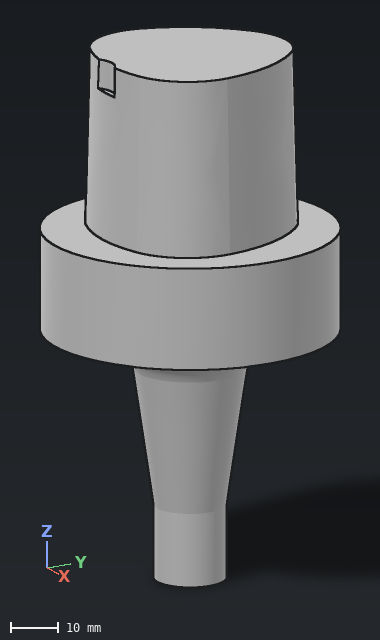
import cadquery as cq
import math

total_height = 114.0
shank_top = 16.0
flange_bottom = 54.0
flange_top = 76.1

shank_radius = 15.4 / 2
flange_radius = 63.0 / 2
neck_radius = 12.5
underside_angle = 15.0
neck_fillet = 5.0
neck_top = flange_bottom - (flange_radius - neck_radius) * math.tan(math.radians(underside_angle))

lobe_reach = 23.4
flank_reach = 20.5
lobe_radius = 15.2
head_taper = math.degrees(math.atan(1 / 40))

notch_radius = 6.2
notch_depth = 6.3
notch_inner_y = -18.1


def polar(distance, angle):
    """Point at a distance from the axis, with the angle in degrees."""
    return distance * math.cos(math.radians(angle)), distance * math.sin(math.radians(angle))


def make_round_body():
    profile = (
        cq.Workplane("XZ")
        .lineTo(shank_radius, 0)
        .lineTo(shank_radius, shank_top)
        .lineTo(neck_radius, neck_top)
        .lineTo(flange_radius, flange_bottom)
        .lineTo(flange_radius, flange_top)
        .lineTo(0, flange_top)
        .close()
    )
    body = profile.revolve(360, (0, 0), (0, 1))
    neck_corner = cq.selectors.BoxSelector(
        (-flange_radius, -flange_radius, neck_top - 1.1),
        (flange_radius, flange_radius, neck_top + 1.1),
        boundingbox=True,
    )
    return body.edges(neck_corner).fillet(neck_fillet)


def make_head():
    lobe_offset = lobe_reach - lobe_radius
    reach_gap = lobe_reach - flank_reach
    flank_offset = reach_gap * (2 * lobe_offset - reach_gap) / (lobe_offset - 2 * reach_gap)
    flank_radius = flank_reach + flank_offset

    half_span = math.degrees(
        math.asin(lobe_offset * math.sin(math.radians(60)) / (flank_radius - lobe_radius))
    )
    joint_x = flank_radius * math.sin(math.radians(half_span))
    joint_y = flank_radius * math.cos(math.radians(half_span)) - flank_offset
    joint_distance = math.hypot(joint_x, joint_y)
    joint_angle = math.degrees(math.atan2(joint_x, joint_y))

    flank_angles = (-90, 30, 150)
    outline = cq.Workplane("XY", origin=(0, 0, flange_top))
    outline = outline.moveTo(*polar(joint_distance, flank_angles[0] - joint_angle))
    for angle in flank_angles:
        flank_end = polar(joint_distance, angle + joint_angle)
        next_flank_start = polar(joint_distance, angle + 120 - joint_angle)
        outline = outline.threePointArc(polar(flank_reach, angle), flank_end)
        outline = outline.threePointArc(polar(lobe_reach, angle + 60), next_flank_start)
    return outline.close().extrude(total_height - flange_top, taper=head_taper)


def make_notch():
    return (
        cq.Workplane("XY", origin=(0, notch_inner_y - notch_radius, total_height - notch_depth))
        .circle(notch_radius)
        .extrude(notch_depth)
    )


result = make_round_body().union(make_head()).cut(make_notch())